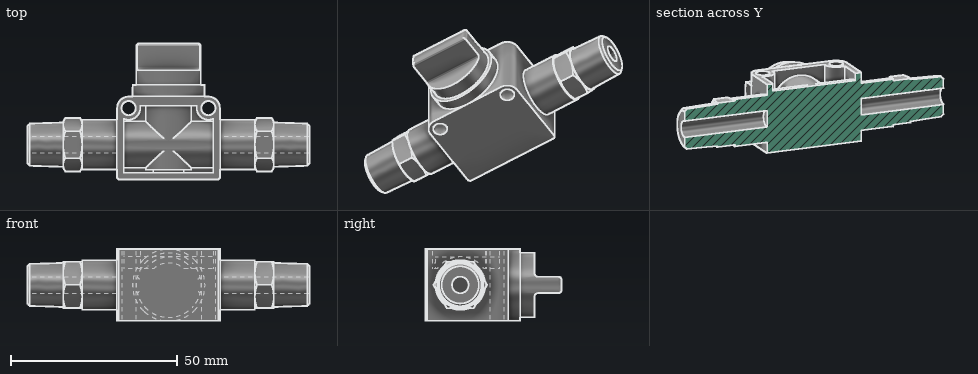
import cadquery as cq
import math


BODY_WIDTH = 31.0
BODY_HEIGHT = 21.7
BODY_BACK = 14.5
BODY_FRONT = -10.5
BACK_CORNER_RADIUS = 3.5
FRONT_CORNER_CHAMFER = 0.5

SIDE_WALL = 2.0
BACK_WALL = 2.8
POCKET_FLOOR_Z = 5.0
POCKET_PIPE_RADIUS = 8.6
STEM_RADIUS = 8.5
STEM_FRONT = -7.5
PLUG_RADIUS = 6.75

MOUNT_HOLE_DIAMETER = 4.2
MOUNT_BOSS_RADIUS = BACK_CORNER_RADIUS
MOUNT_X = BODY_WIDTH / 2 - BACK_CORNER_RADIUS
MOUNT_Y = BODY_BACK - BACK_CORNER_RADIUS

COLLAR_DIAMETER = 21.7
COLLAR_LENGTH = 3.5
KNOB_DIAMETER = 19.5
KNOB_LENGTH = 4.4
GRIP_THICKNESS = 5.0
GRIP_END = 30.5
GRIP_ROOT_FILLET = 1.0
GRIP_TIP_FILLET = 1.0

PIPE_DIAMETER = 15.0
FITTING_END = 42.5
HEX_SIDES = 6
HEX_INNER = 26.0
HEX_OUTER = 31.7
HEX_ACROSS_FLATS = 14.0
HEX_CHAMFER_ANGLE = 30.0
THREAD_ROOT_RADIUS = 6.7
THREAD_TIP_RADIUS = 6.4
THREAD_CHAMFER = 0.8
BORE_DIAMETER = 5.0


def cylinder_along_y(radius, y_start, y_end):
    """Cylinder on the knob axis between two Y positions."""
    plane = cq.Workplane("XZ", origin=(0, y_start, 0))
    return plane.circle(radius).extrude(y_start - y_end)


def cylinder_along_x(radius, x_start, x_end):
    """Cylinder on the flow axis between two X positions."""
    plane = cq.Workplane("YZ", origin=(x_start, 0, 0))
    return plane.circle(radius).extrude(x_end - x_start)


def box_between(x_limits, y_limits, z_limits):
    """Axis-aligned box given by its (low, high) limits."""
    limits = (x_limits, y_limits, z_limits)
    size = [high - low for low, high in limits]
    corner = tuple(low for low, high in limits)
    return cq.Workplane("XY").box(*size, centered=False).translate(corner)


def mount_cylinders(radius):
    """Full-height cylinders at both mounting positions."""
    plane = cq.Workplane("XY", origin=(0, 0, -BODY_HEIGHT / 2))
    positions = [(-MOUNT_X, MOUNT_Y), (MOUNT_X, MOUNT_Y)]
    return plane.pushPoints(positions).circle(radius).extrude(BODY_HEIGHT)


def make_body():
    """Block with a pocket that leaves the bosses, pipe, stem and plug standing."""
    half_width = BODY_WIDTH / 2
    half_height = BODY_HEIGHT / 2
    block = box_between(
        (-half_width, half_width), (BODY_FRONT, BODY_BACK), (-half_height, half_height)
    )
    block = block.edges("|Z and >Y").fillet(BACK_CORNER_RADIUS)
    block = block.edges("|Z and <Y").chamfer(FRONT_CORNER_CHAMFER)

    pocket_half_width = half_width - SIDE_WALL
    pocket_front = BODY_FRONT + SIDE_WALL
    pocket_back = BODY_BACK - BACK_WALL
    pocket = box_between(
        (-pocket_half_width, pocket_half_width),
        (pocket_front, pocket_back),
        (POCKET_FLOOR_Z, half_height),
    )
    pocket = pocket.cut(mount_cylinders(MOUNT_BOSS_RADIUS))
    pocket = pocket.cut(cylinder_along_x(POCKET_PIPE_RADIUS, -half_width, half_width))
    pocket = pocket.cut(cylinder_along_y(STEM_RADIUS, STEM_FRONT, BODY_BACK))
    pocket = pocket.cut(cylinder_along_y(PLUG_RADIUS, BODY_FRONT, STEM_FRONT))
    return block.cut(pocket).cut(mount_cylinders(MOUNT_HOLE_DIAMETER / 2))


def make_knob():
    """Round collar and knob with a flat finger grip across the middle."""
    collar_end = BODY_BACK + COLLAR_LENGTH
    knob_end = collar_end + KNOB_LENGTH
    knob_radius = KNOB_DIAMETER / 2
    half_grip = GRIP_THICKNESS / 2

    grip = cylinder_along_y(knob_radius, collar_end, GRIP_END)
    for side in (-1, 1):
        z_limits = sorted((side * half_grip, side * KNOB_DIAMETER))
        relief = box_between((-KNOB_DIAMETER, KNOB_DIAMETER), (knob_end, GRIP_END), z_limits)
        root_edge = cq.selectors.NearestToPointSelector((0, knob_end, side * half_grip))
        grip = grip.cut(relief.edges(root_edge).fillet(GRIP_ROOT_FILLET))
    grip = grip.faces(">Y").edges().fillet(GRIP_TIP_FILLET)
    return cylinder_along_y(COLLAR_DIAMETER / 2, BODY_BACK, collar_end).union(grip)


def make_hex():
    """Hexagon with corners toward +-Y, both ends chamfered down to the flats."""
    flat_radius = HEX_ACROSS_FLATS / 2
    corner_radius = flat_radius / math.cos(math.pi / HEX_SIDES)
    chamfer_length = (corner_radius - flat_radius) * math.tan(math.radians(HEX_CHAMFER_ANGLE))
    prism = (
        cq.Workplane("YZ", origin=(HEX_INNER, 0, 0))
        .polygon(HEX_SIDES, 2 * corner_radius)
        .extrude(HEX_OUTER - HEX_INNER)
    )
    envelope = (
        cq.Workplane("XY")
        .moveTo(HEX_INNER, 0)
        .lineTo(HEX_INNER, flat_radius)
        .lineTo(HEX_INNER + chamfer_length, corner_radius)
        .lineTo(HEX_OUTER - chamfer_length, corner_radius)
        .lineTo(HEX_OUTER, flat_radius)
        .lineTo(HEX_OUTER, 0)
        .close()
        .revolve(360, (0, 0, 0), (1, 0, 0))
    )
    return prism.intersect(envelope)


def make_fitting():
    """Fitting on the +X end: pipe, hexagon and tapered thread, with a bore ending at the body."""
    thread = (
        cq.Workplane("XY")
        .moveTo(HEX_OUTER, 0)
        .lineTo(HEX_OUTER, THREAD_ROOT_RADIUS)
        .lineTo(FITTING_END - THREAD_CHAMFER, THREAD_TIP_RADIUS)
        .lineTo(FITTING_END, THREAD_TIP_RADIUS - THREAD_CHAMFER)
        .lineTo(FITTING_END, 0)
        .close()
        .revolve(360, (0, 0, 0), (1, 0, 0))
    )
    pipe = cylinder_along_x(PIPE_DIAMETER / 2, BODY_WIDTH / 2, HEX_INNER)
    bore = cylinder_along_x(BORE_DIAMETER / 2, BODY_WIDTH / 2, FITTING_END)
    return pipe.union(make_hex()).union(thread).cut(bore)


fitting = make_fitting()
result = make_body().union(make_knob()).union(fitting).union(fitting.mirror("YZ"))